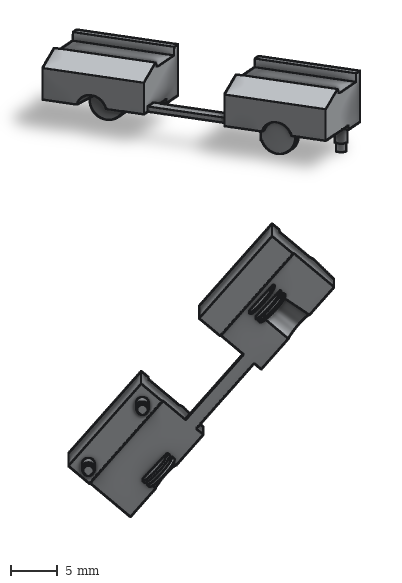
import cadquery as cq

total_length = 33.5
block_length = 12.0
block_depth = 8.8
total_height = 8.8
block_offset = (total_length - block_length) / 2
front_y = -block_depth / 2
back_y = block_depth / 2

base_z = 3.52
foot_z = 3.0
foot_depth = 3.0
lip_top_depth = 1.0
lip_base_depth = 1.1
deck_z = 7.87
ridge_base_depth = 5.35
ridge_depth = 5.8
ridge_z = 8.48
front_edge_z = 7.1

bar_front_gap = 1.0
bar_width = 1.5
bar_thickness = 0.6
bar_overlap = 0.35

pin_spacing = 8.88
pin_inset = 1.5
pin_radius = 0.7
pin_tip_radius = 0.57
pin_tip_length = 1.0

disc_radius = 2.0
disc_z = foot_z
left_discs = [(3.65, 0.25, 3.0), (4.15, 0.15, 1.5), (5.1, 0.17, 1.0)]
right_discs = [(0.87, 0.37, 2.0), (1.55, 0.3, 2.0)]

arch_mouth_radius = 1.8
arch_end_radius = 1.6
arch_mouth_shift = 0.2


def make_block(center_x):
    profile = [
        (front_y, base_z),
        (front_y, front_edge_z),
        (back_y - ridge_depth, ridge_z),
        (back_y - ridge_base_depth, deck_z),
        (back_y - lip_base_depth, deck_z),
        (back_y - lip_top_depth, total_height),
        (back_y, total_height),
        (back_y, foot_z),
        (back_y - foot_depth, foot_z),
        (back_y - foot_depth, base_z),
    ]
    start_x = center_x - block_length / 2
    return cq.Workplane("YZ", origin=(start_x, 0, 0)).polyline(profile).close().extrude(block_length)


def make_arch(center_x, mouth_shift, depth):
    mouth = cq.Workplane("XZ", origin=(center_x + mouth_shift, front_y, disc_z)).circle(arch_mouth_radius)
    return mouth.workplane(offset=-depth).center(-mouth_shift, 0).circle(arch_end_radius).loft()


def make_disc(center_x, depth, thickness, turn):
    disc = cq.Workplane("XZ").circle(disc_radius).extrude(thickness / 2, both=True)
    disc = disc.rotate((0, 0, 0), (0, 0, 1), turn)
    return disc.translate((center_x, front_y + depth, disc_z))


def make_pin(center_x):
    tip = cq.Workplane("XY", origin=(center_x, back_y - pin_inset, 0))
    shank = tip.workplane(offset=pin_tip_length).circle(pin_radius).extrude(base_z - pin_tip_length)
    return tip.circle(pin_tip_radius).extrude(pin_tip_length).union(shank)


def make_unit(center_x, mouth_shift, discs):
    first_disc_depth = discs[0][0]
    unit = make_block(center_x).cut(make_arch(center_x, mouth_shift, first_disc_depth))
    for depth, thickness, turn in discs:
        unit = unit.union(make_disc(center_x, depth, thickness, turn))
    return unit


def make_bar():
    length = 2 * block_offset - block_length + 2 * bar_overlap
    bar = cq.Workplane("XY").box(length, bar_width, bar_thickness, centered=(True, False, False))
    return bar.translate((0, front_y + bar_front_gap, base_z))


left_unit = make_unit(-block_offset, -arch_mouth_shift, left_discs)
right_unit = make_unit(block_offset, arch_mouth_shift, right_discs)
result = left_unit.union(right_unit).union(make_bar())
for side in (-1, 1):
    result = result.union(make_pin(block_offset + side * pin_spacing / 2))